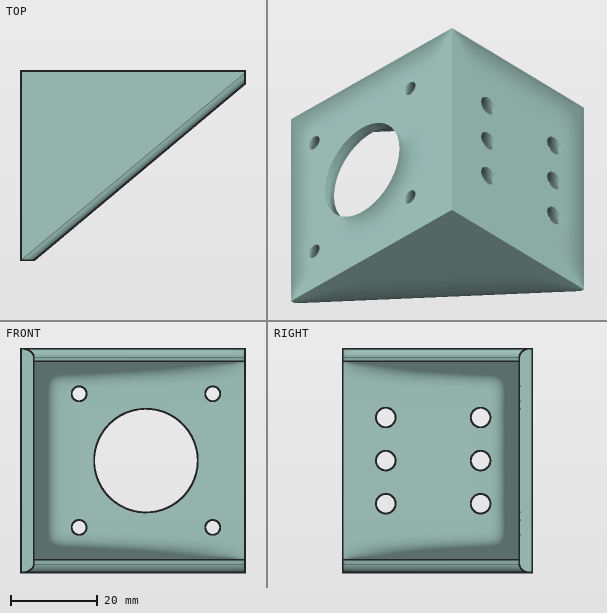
import cadquery as cq
import math

WIDTH = 52.0
DEPTH = 44.0
HEIGHT = 52.0
WALL = 3.0
EDGE_RADIUS = 2.0

MOTOR_X = 29.0
MOTOR_BORE_DIAMETER = 24.0
MOTOR_SCREW_SPACING = 31.0
MOTOR_SCREW_DIAMETER = 3.4

MOUNT_HOLE_DIAMETER = 4.5
MOUNT_HOLE_PITCH = 10.0
MOUNT_HOLE_ROWS = 3
MOUNT_COLUMNS_Y = (10.0, 32.0)

MID_Z = HEIGHT / 2


def sloping_block():
    """Solid wedge whose sloping face joins the free ends of the two plates."""
    return (
        cq.Workplane("XY")
        .moveTo(0, 0)
        .lineTo(WALL, 0)
        .lineTo(WIDTH, DEPTH - WALL)
        .lineTo(WIDTH, DEPTH)
        .lineTo(0, DEPTH)
        .close()
        .extrude(HEIGHT)
    )


def rounded_envelope():
    """Bar along the sloping face, with its outer top and bottom edges rounded."""
    run = WIDTH - WALL
    rise = DEPTH - WALL
    slope_length = math.hypot(run, rise)
    overhang = WIDTH + DEPTH
    slope_plane = cq.Plane(
        origin=(WALL, 0, 0),
        xDir=(-rise, run, 0),
        normal=(run, rise, 0),
    )
    return (
        cq.Workplane(slope_plane)
        .workplane(offset=-overhang)
        .moveTo(EDGE_RADIUS, 0)
        .lineTo(overhang, 0)
        .lineTo(overhang, HEIGHT)
        .lineTo(EDGE_RADIUS, HEIGHT)
        .radiusArc((0, HEIGHT - EDGE_RADIUS), -EDGE_RADIUS)
        .lineTo(0, EDGE_RADIUS)
        .radiusArc((EDGE_RADIUS, 0), -EDGE_RADIUS)
        .close()
        .extrude(slope_length + 2 * overhang)
    )


def inner_cavity():
    """Open space between the two plates and the two gussets."""
    return cq.Workplane("XY").box(
        WIDTH, DEPTH, HEIGHT - 2 * WALL, centered=False
    ).translate((WALL, -WALL, WALL))


def motor_holes():
    """Central bore and four screw holes through the rear wall."""
    rear_wall = cq.Workplane("XZ", origin=(MOTOR_X, DEPTH, MID_Z))
    bore = rear_wall.circle(MOTOR_BORE_DIAMETER / 2).extrude(WALL)
    screws = (
        rear_wall.rect(MOTOR_SCREW_SPACING, MOTOR_SCREW_SPACING, forConstruction=True)
        .vertices()
        .circle(MOTOR_SCREW_DIAMETER / 2)
        .extrude(WALL)
    )
    return bore.union(screws)


def mounting_holes():
    """Two columns of holes through the left wall."""
    first_offset = -MOUNT_HOLE_PITCH * (MOUNT_HOLE_ROWS - 1) / 2
    centers = [
        (y, MID_Z + first_offset + row * MOUNT_HOLE_PITCH)
        for y in MOUNT_COLUMNS_Y
        for row in range(MOUNT_HOLE_ROWS)
    ]
    return (
        cq.Workplane("YZ")
        .pushPoints(centers)
        .circle(MOUNT_HOLE_DIAMETER / 2)
        .extrude(WALL)
    )


bracket = sloping_block().intersect(rounded_envelope())
bracket = bracket.cut(inner_cavity())
bracket = bracket.cut(motor_holes())
result = bracket.cut(mounting_holes())